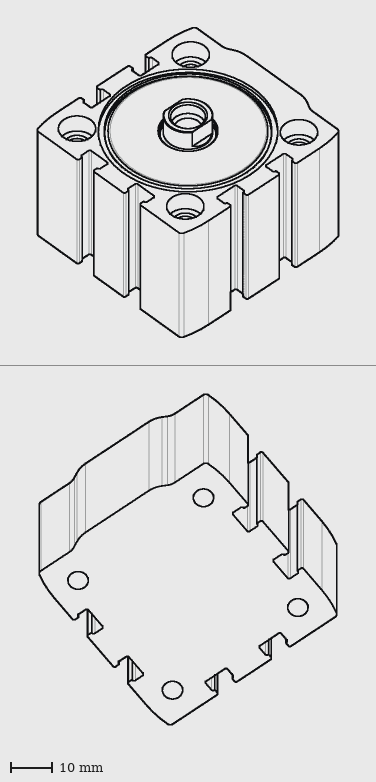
import cadquery as cq
import math

HALF_WIDTH = 26.5
BODY_HEIGHT = 34.5
OVERALL_DEPTH = 55.0
FLANK_FLAT_HALF = 18.55
FLANK_RADIUS = 27.5
CORNER_RADIUS = 1.0

PAD_Y = OVERALL_DEPTH - HALF_WIDTH
PAD_TOP_HALF = 9.55
PAD_BASE_HALF = 16.0
PAD_TOP_RADIUS = 7.0
PAD_BASE_RADIUS = 4.0

SLOT_SPACING = 16.3
SLOT_MOUTH = 5.2
SLOT_INNER = 6.55
SLOT_DEPTH = 4.6
SLOT_LIP = 1.5
SLOT_RADIUS = 0.45

BOLT_OFFSET = 19.0
BOLT_DIAMETER = 4.9
BOLT_CHAMFER_DIAMETER = 6.0
BOLT_BORE_DIAMETER = 9.0
BOLT_BORE_DEPTH = 5.0

RECESS_RADIUS = 43.4 / 2
RIM_RADIUS = 20.3
VALLEY_RADIUS = 20.15
CAP_SHOULDER_RADIUS = 19.35
CAP_FACE_RADIUS = 18.9
CAP_FACE_DROP = 0.1
RIM_DROP = 0.3
RECESS_SLOPE = 30.0
CAP_SLOPE = 40.0
CAP_EDGE_SLOPE = 15.0

ROD_RADIUS = 12.0 / 2
ROD_PROTRUSION = 5.0
ROD_TOP = BODY_HEIGHT + ROD_PROTRUSION
ROD_BOTTOM = 15.0
ROD_CHAMFER = 0.15
FLAT_HALF = 5.0
FLAT_BASE = BODY_HEIGHT + 0.3
FLAT_BASE_SLOPE = 30.0

ROD_MOUTH_RADIUS = 4.7
ROD_BORE_RADIUS = 8.4 / 2
ROD_BORE_DEPTH = 3.3
ROD_STEP_SLOPE = 40.0
ROD_DRILL_RADIUS = 6.65 / 2
ROD_DRILL_DEPTH = 12.0
DRILL_HALF_ANGLE = 59.0

GROOVE_MOUTH_RADIUS = 14.5 / 2
GROOVE_RADIUS = 14.1 / 2
WIPER_BASE_RADIUS = 6.75
WIPER_DROP = 0.5
WIPER_SLOPE = 45.0


def drop(run, slope):
    """Height lost over a horizontal run at a slope in degrees."""
    return run * math.tan(math.radians(slope))


def revolve_profile(points):
    """Solid of revolution about Z from (radius, height) points."""
    return cq.Workplane("XZ").polyline(points).close().revolve(360, (0, 0, 0), (0, 1, 0))


def block_blank():
    angle = math.asin((HALF_WIDTH - FLANK_FLAT_HALF) / FLANK_RADIUS)
    corner_x = HALF_WIDTH - FLANK_RADIUS * (1 - math.cos(angle))
    middle_x = HALF_WIDTH - FLANK_RADIUS * (1 - math.cos(angle / 2))
    middle_y = FLANK_FLAT_HALF + FLANK_RADIUS * math.sin(angle / 2)
    blank = (
        cq.Workplane("XY")
        .moveTo(-corner_x, -HALF_WIDTH)
        .lineTo(corner_x, -HALF_WIDTH)
        .threePointArc((middle_x, -middle_y), (HALF_WIDTH, -FLANK_FLAT_HALF))
        .lineTo(HALF_WIDTH, FLANK_FLAT_HALF)
        .threePointArc((middle_x, middle_y), (corner_x, HALF_WIDTH))
        .lineTo(-corner_x, HALF_WIDTH)
        .threePointArc((-middle_x, middle_y), (-HALF_WIDTH, FLANK_FLAT_HALF))
        .lineTo(-HALF_WIDTH, -FLANK_FLAT_HALF)
        .threePointArc((-middle_x, -middle_y), (-corner_x, -HALF_WIDTH))
        .close()
        .extrude(BODY_HEIGHT)
    )
    corners = blank.edges("|Z").edges(">Y or <Y")
    return corners.fillet(CORNER_RADIUS)


def pad():
    """Raised pad whose ends blend into the block by two opposed arcs."""
    run = PAD_BASE_HALF - PAD_TOP_HALF
    rise = PAD_Y - HALF_WIDTH
    radii = PAD_TOP_RADIUS + PAD_BASE_RADIUS
    height = radii - rise
    span = math.hypot(run, height)
    angle = math.atan2(run, height) - math.acos(radii / span)

    def on_top(turn):
        x = PAD_TOP_HALF + PAD_TOP_RADIUS * math.sin(turn)
        y = PAD_Y - PAD_TOP_RADIUS * (1 - math.cos(turn))
        return (x, y)

    def on_base(turn):
        x = PAD_BASE_HALF - PAD_BASE_RADIUS * math.sin(turn)
        y = HALF_WIDTH + PAD_BASE_RADIUS * (1 - math.cos(turn))
        return (x, y)

    def mirrored(point):
        return (-point[0], point[1])

    return (
        cq.Workplane("XY")
        .moveTo(-PAD_TOP_HALF, PAD_Y)
        .lineTo(PAD_TOP_HALF, PAD_Y)
        .threePointArc(on_top(angle / 2), on_top(angle))
        .lineTo(*on_base(angle))
        .threePointArc(on_base(angle / 2), (PAD_BASE_HALF, HALF_WIDTH))
        .lineTo(PAD_BASE_HALF, 0)
        .lineTo(-PAD_BASE_HALF, 0)
        .lineTo(-PAD_BASE_HALF, HALF_WIDTH)
        .threePointArc(mirrored(on_base(angle / 2)), mirrored(on_base(angle)))
        .lineTo(*mirrored(on_top(angle)))
        .threePointArc(mirrored(on_top(angle / 2)), (-PAD_TOP_HALF, PAD_Y))
        .close()
        .extrude(BODY_HEIGHT)
    )


def slot(offset, turn):
    """T-slot cutter for the -Y face at an X offset, turned about Z to its own face."""
    channel = (
        cq.Workplane("XY")
        .box(SLOT_INNER, SLOT_DEPTH - SLOT_LIP, BODY_HEIGHT, centered=(True, False, False))
        .edges("|Z")
        .fillet(SLOT_RADIUS)
        .translate((offset, SLOT_LIP - HALF_WIDTH, 0))
    )
    half = SLOT_MOUTH / 2
    edge = half + SLOT_RADIUS
    bend = SLOT_RADIUS * (1 - math.sqrt(0.5))
    mouth = (
        cq.Workplane("XY")
        .moveTo(-edge, 0)
        .threePointArc((-half - bend, bend), (-half, SLOT_RADIUS))
        .lineTo(-half, SLOT_DEPTH / 2)
        .lineTo(half, SLOT_DEPTH / 2)
        .lineTo(half, SLOT_RADIUS)
        .threePointArc((half + bend, bend), (edge, 0))
        .close()
        .extrude(BODY_HEIGHT)
        .translate((offset, -HALF_WIDTH, 0))
    )
    return channel.union(mouth).rotate((0, 0, 0), (0, 0, 1), turn)


def bolt_hole(x, y):
    floor = BODY_HEIGHT - BOLT_BORE_DEPTH
    hole = BOLT_DIAMETER / 2
    chamfer = BOLT_CHAMFER_DIAMETER / 2
    bore = BOLT_BORE_DIAMETER / 2
    return revolve_profile(
        [
            (0, 0),
            (hole, 0),
            (hole, floor - (chamfer - hole)),
            (chamfer, floor),
            (bore, floor),
            (bore, BODY_HEIGHT),
            (0, BODY_HEIGHT),
        ]
    ).translate((x, y, 0))


def cap_recess():
    """Ring recess: sloped ledge, small inner step, and the sloped edge of the cap face."""
    face = BODY_HEIGHT - CAP_FACE_DROP
    shoulder = face - drop(CAP_SHOULDER_RADIUS - CAP_FACE_RADIUS, CAP_EDGE_SLOPE)
    valley = shoulder - drop(VALLEY_RADIUS - CAP_SHOULDER_RADIUS, CAP_SLOPE)
    rim = BODY_HEIGHT - RIM_DROP
    foot = rim - drop(RECESS_RADIUS - RIM_RADIUS, RECESS_SLOPE)
    return revolve_profile(
        [
            (0, BODY_HEIGHT),
            (0, face),
            (CAP_FACE_RADIUS, face),
            (CAP_SHOULDER_RADIUS, shoulder),
            (VALLEY_RADIUS, valley),
            (RIM_RADIUS, rim),
            (RECESS_RADIUS, foot),
            (RECESS_RADIUS, BODY_HEIGHT),
        ]
    )


def rod_passage():
    """Rod bore with the wiper groove at its mouth."""
    face = BODY_HEIGHT - CAP_FACE_DROP
    chamfer = GROOVE_MOUTH_RADIUS - GROOVE_RADIUS
    lip = face - WIPER_DROP
    floor = lip - drop(WIPER_BASE_RADIUS - ROD_RADIUS, WIPER_SLOPE)
    return revolve_profile(
        [
            (0, ROD_BOTTOM),
            (ROD_RADIUS, ROD_BOTTOM),
            (ROD_RADIUS, lip),
            (WIPER_BASE_RADIUS, floor),
            (GROOVE_RADIUS, floor),
            (GROOVE_RADIUS, face - chamfer),
            (GROOVE_MOUTH_RADIUS, face),
            (0, face),
        ]
    )


def make_housing():
    housing = block_blank().union(pad())
    for turn in (-90, 0, 90):
        for side in (-1, 1):
            housing = housing.cut(slot(side * SLOT_SPACING / 2, turn))
    for x in (-BOLT_OFFSET, BOLT_OFFSET):
        for y in (-BOLT_OFFSET, BOLT_OFFSET):
            housing = housing.cut(bolt_hole(x, y))
    return housing.cut(cap_recess()).cut(rod_passage())


def wrench_flat():
    """Cutter for the flat on the +X side of the rod, with a sloped end at its base."""
    outer = FLAT_HALF + ROD_RADIUS
    return (
        cq.Workplane("XZ")
        .polyline(
            [
                (FLAT_HALF, FLAT_BASE),
                (outer, FLAT_BASE - drop(outer - FLAT_HALF, FLAT_BASE_SLOPE)),
                (outer, ROD_TOP),
                (FLAT_HALF, ROD_TOP),
            ]
        )
        .close()
        .extrude(ROD_RADIUS, both=True)
    )


def make_rod():
    bore_floor = ROD_TOP - ROD_BORE_DEPTH
    drill_floor = ROD_TOP - ROD_DRILL_DEPTH
    rod = revolve_profile(
        [
            (0, ROD_BOTTOM),
            (ROD_RADIUS, ROD_BOTTOM),
            (ROD_RADIUS, ROD_TOP - ROD_CHAMFER),
            (ROD_RADIUS - ROD_CHAMFER, ROD_TOP),
            (ROD_MOUTH_RADIUS, ROD_TOP),
            (ROD_BORE_RADIUS, ROD_TOP - (ROD_MOUTH_RADIUS - ROD_BORE_RADIUS)),
            (ROD_BORE_RADIUS, bore_floor),
            (ROD_DRILL_RADIUS, bore_floor - drop(ROD_BORE_RADIUS - ROD_DRILL_RADIUS, ROD_STEP_SLOPE)),
            (ROD_DRILL_RADIUS, drill_floor),
            (0, drill_floor - ROD_DRILL_RADIUS / math.tan(math.radians(DRILL_HALF_ANGLE))),
        ]
    )
    for turn in (0, 180):
        rod = rod.cut(wrench_flat().rotate((0, 0, 0), (0, 0, 1), turn))
    return rod


housing = make_housing()
rod = make_rod()
result = cq.Compound.makeCompound([housing.val(), rod.val()])